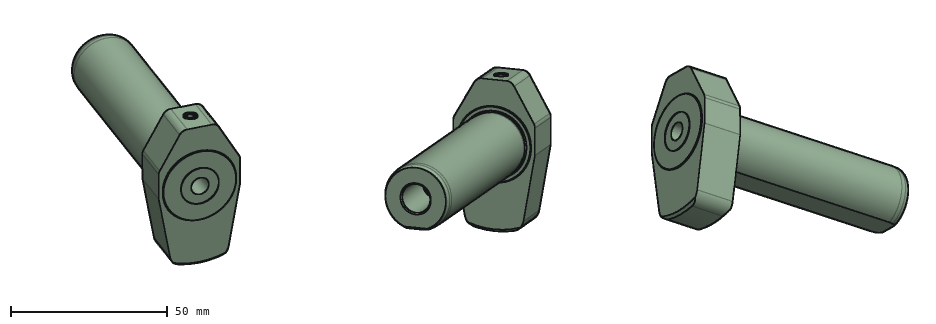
import cadquery as cq
import math

total_length = 85.0

head_start = 70.2
head_end = 84.5
head_width = 28.0
head_top = 21.4
top_corner_half_width = 5.95
shoulder_slope = math.radians(60)
top_corner_radius = 3.0
shoulder_radius = 2.55
waist_z = -2.2
taper_angle = math.radians(10)
foot_radius = 29.1
foot_corner_radius = 5.0
foot_chamfer = 0.9

collar_diameter = 25.4
collar_face_diameter = 24.9
collar_height = 0.25
pad_diameter = 13.0

shaft_diameter = 22.0
lead_diameter = 21.85
end_face_diameter = 20.65
end_chamfer = 0.25
rounding_radius = 2.55
rounding_end = 1.7
lead_end = 3.2
flat_z = -10.1
flat_bevel_length = 0.25
flat_bevel_height = 0.6
flat_end = 64.9

relief_diameter = 21.6
relief_start = 68.0
relief_floor_start = 68.8
relief_floor_end = 69.5

mouth_diameter = 10.45
mouth_depth = 0.5
entry_diameter = 9.5
entry_depth = 18.7
middle_diameter = 9.0
middle_depth = 23.8
inner_diameter = 8.2
through_diameter = 6.0
inner_cone_slope = math.radians(60)

nipple_x = 76.6
nipple_pocket_diameter = 4.6
nipple_pocket_depth = 0.5
nipple_base_diameter = 4.0
nipple_tip_diameter = 2.8
nipple_setback = 0.2
nipple_cup_diameter = 2.3
nipple_cup_depth = 2.0
nipple_cup_point_angle = math.radians(118)


def revolve_about_x(profile):
    """Close an (x, radius) profile and turn it around the shaft axis."""
    return profile.close().revolve(360, (0, 0, 0), (1, 0, 0))


def head_plate():
    half_width = head_width / 2
    shoulder_drop = (half_width - top_corner_half_width) * math.tan(shoulder_slope)
    shoulder_z = head_top - shoulder_drop

    flank_y = half_width - waist_z * math.tan(taper_angle)
    flank_distance = flank_y * math.cos(taper_angle)
    foot_angle = taper_angle + math.acos(flank_distance / foot_radius)
    foot_y = foot_radius * math.cos(foot_angle)
    foot_z = -foot_radius * math.sin(foot_angle)

    plate = (
        cq.Workplane("YZ", origin=(head_start, 0, 0))
        .moveTo(-top_corner_half_width, head_top)
        .lineTo(top_corner_half_width, head_top)
        .lineTo(half_width, shoulder_z)
        .lineTo(half_width, waist_z)
        .lineTo(foot_y, foot_z)
        .threePointArc((0, -foot_radius), (-foot_y, foot_z))
        .lineTo(-half_width, waist_z)
        .lineTo(-half_width, shoulder_z)
        .close()
        .extrude(head_end - head_start)
    )
    middle_x = (head_start + head_end) / 2
    for side in (-1, 1):
        for y, z, radius in (
            (top_corner_half_width, head_top, top_corner_radius),
            (half_width, shoulder_z, shoulder_radius),
            (foot_y, foot_z, foot_corner_radius),
        ):
            corner = cq.selectors.NearestToPointSelector((middle_x, side * y, z))
            plate = plate.edges("|X").edges(corner).fillet(radius)
    return plate.intersect(foot_envelope())


def foot_envelope():
    """Round blank whose conical edges bevel only the foot of the head."""
    bevel_radius = foot_radius - foot_chamfer
    return revolve_about_x(
        cq.Workplane("XY")
        .moveTo(head_start, 0)
        .lineTo(head_start, bevel_radius)
        .lineTo(head_start + foot_chamfer, foot_radius)
        .lineTo(head_end - foot_chamfer, foot_radius)
        .lineTo(head_end, bevel_radius)
        .lineTo(head_end, 0)
    )


def bearing_faces():
    """Tapered collar on both sides of the head, with a round pad on the outer side."""
    collar_face_end = head_end + collar_height
    return revolve_about_x(
        cq.Workplane("XY")
        .moveTo(head_start - collar_height, 0)
        .lineTo(head_start - collar_height, collar_face_diameter / 2)
        .lineTo(head_start, collar_diameter / 2)
        .lineTo(head_end, collar_diameter / 2)
        .lineTo(collar_face_end, collar_face_diameter / 2)
        .lineTo(collar_face_end, pad_diameter / 2)
        .lineTo(total_length, pad_diameter / 2)
        .lineTo(total_length, 0)
    )


def rounded_end_radius(x):
    """Shaft radius on the rounded end, whose arc is level where the lead-in starts."""
    arc_height = math.sqrt(rounding_radius**2 - (rounding_end - x) ** 2)
    return lead_diameter / 2 - rounding_radius + arc_height


def shaft():
    collar_face = head_start - collar_height
    relief_radius = relief_diameter / 2
    root_radius = relief_radius + collar_face - relief_floor_end
    arc_middle = (end_chamfer + rounding_end) / 2
    body = revolve_about_x(
        cq.Workplane("XY")
        .lineTo(0, end_face_diameter / 2)
        .lineTo(end_chamfer, rounded_end_radius(end_chamfer))
        .threePointArc(
            (arc_middle, rounded_end_radius(arc_middle)),
            (rounding_end, lead_diameter / 2),
        )
        .lineTo(lead_end, shaft_diameter / 2)
        .lineTo(relief_start, shaft_diameter / 2)
        .lineTo(relief_floor_start, relief_radius)
        .lineTo(relief_floor_end, relief_radius)
        .lineTo(collar_face, root_radius)
        .lineTo(head_start, root_radius)
        .lineTo(head_start, 0)
    )
    return body.cut(shaft_flat())


def shaft_flat():
    """Flat along the underside, bevelled at the free end and sloping out before the head."""
    bottom = -shaft_diameter
    slope_length = flat_z - bottom
    return (
        cq.Workplane("XZ")
        .moveTo(0, flat_z + flat_bevel_height)
        .lineTo(flat_bevel_length, flat_z)
        .lineTo(flat_end, flat_z)
        .lineTo(flat_end + slope_length, bottom)
        .lineTo(0, bottom)
        .close()
        .extrude(shaft_diameter / 2, both=True)
    )


def bore():
    """Stepped bore with a bevelled mouth, narrowing to a hole through the head."""
    entry_step = (entry_diameter - middle_diameter) / 2
    middle_step = (middle_diameter - inner_diameter) / 2
    cone_length = (inner_diameter - through_diameter) / 2 / math.tan(inner_cone_slope)
    cone_start = middle_depth + middle_step
    return revolve_about_x(
        cq.Workplane("XY")
        .lineTo(0, mouth_diameter / 2)
        .lineTo(mouth_depth, entry_diameter / 2)
        .lineTo(entry_depth, entry_diameter / 2)
        .lineTo(entry_depth + entry_step, middle_diameter / 2)
        .lineTo(middle_depth, middle_diameter / 2)
        .lineTo(cone_start, inner_diameter / 2)
        .lineTo(cone_start + cone_length, through_diameter / 2)
        .lineTo(total_length, through_diameter / 2)
        .lineTo(total_length, 0)
    )


def nipple_recess():
    """Material removed around and inside the sunk nipple."""
    cup_radius = nipple_cup_diameter / 2
    cup_floor = -nipple_setback - nipple_cup_depth
    cup_point = cup_floor - cup_radius / math.tan(nipple_cup_point_angle / 2)
    profile = (
        cq.Workplane("XZ", origin=(nipple_x, 0, head_top))
        .moveTo(0, cup_point)
        .lineTo(cup_radius, cup_floor)
        .lineTo(cup_radius, -nipple_setback)
        .lineTo(nipple_tip_diameter / 2, -nipple_setback)
        .lineTo(nipple_base_diameter / 2, -nipple_pocket_depth)
        .lineTo(nipple_pocket_diameter / 2, -nipple_pocket_depth)
        .lineTo(nipple_pocket_diameter / 2, 0)
        .lineTo(0, 0)
        .close()
    )
    return profile.revolve(360, (0, 0, 0), (0, 1, 0))


result = (
    head_plate()
    .union(bearing_faces())
    .union(shaft())
    .cut(bore())
    .cut(nipple_recess())
)